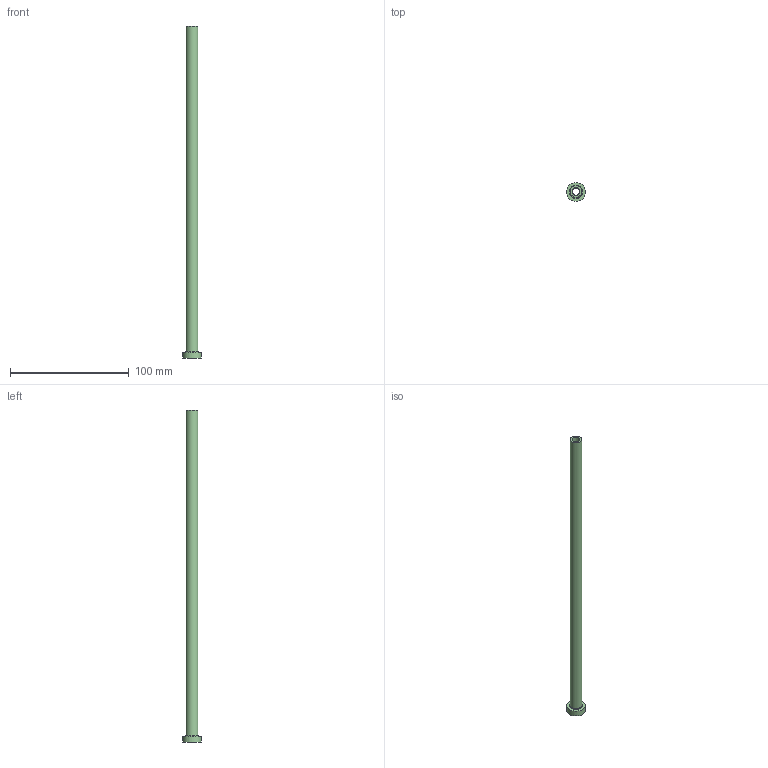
import cadquery as cq

total_length = 280.0
tube_diameter = 10.0
bore_diameter = 6.5
head_diameter = 16.0
head_height = 5.0
neck_fillet_radius = 0.5

bottom_z = -total_length / 2
top_z = total_length / 2
head_top_z = bottom_z + head_height

tube_radius = tube_diameter / 2
bore_radius = bore_diameter / 2
head_radius = head_diameter / 2


def wall_section():
    """Half section of the sleeve wall on the -X side of the axis."""
    return (
        cq.Workplane("XZ")
        .moveTo(-bore_radius, bottom_z)
        .lineTo(-head_radius, bottom_z)
        .lineTo(-head_radius, head_top_z)
        .lineTo(-tube_radius - neck_fillet_radius, head_top_z)
        .radiusArc((-tube_radius, head_top_z + neck_fillet_radius), -neck_fillet_radius)
        .lineTo(-tube_radius, top_z)
        .lineTo(-bore_radius, top_z)
        .close()
    )


full_turn = 360
result = wall_section().revolve(full_turn, (0, 0, 0), (0, 1, 0))